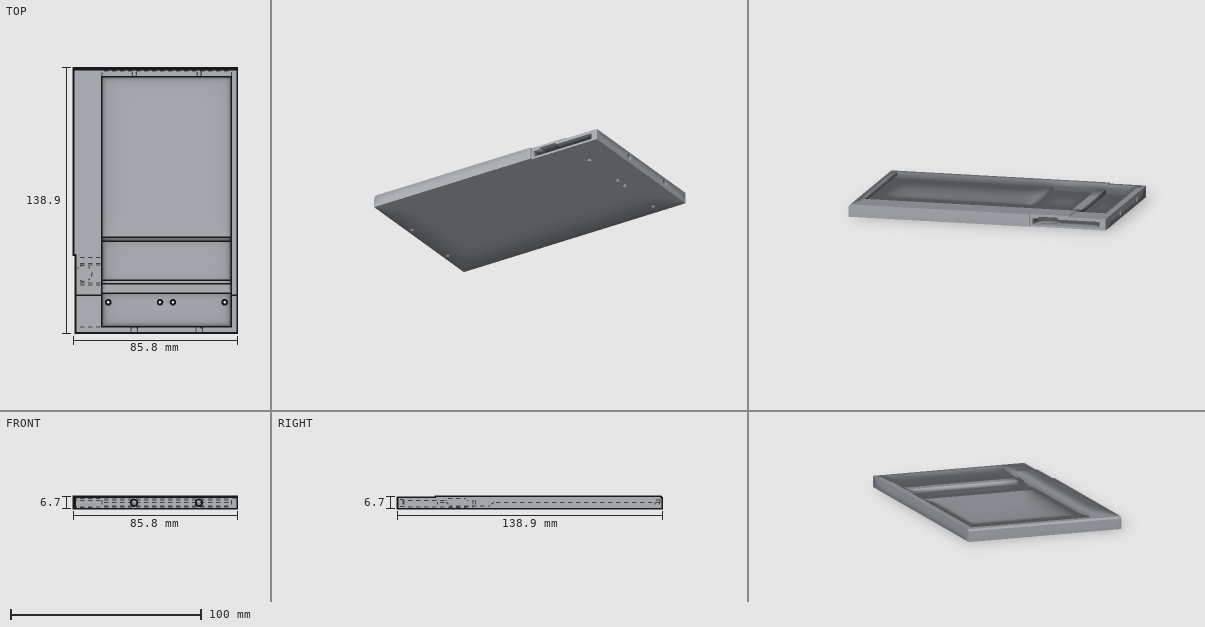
import cadquery as cq

LENGTH = 138.9
WIDTH = 85.8
HEIGHT = 6.7
BACK_CHAMFER = 1.0
FRONT_DROP = 0.5
FRONT_DROP_Y = -49.6
SIDE_STEP = 1.0
SIDE_STEP_Y = -28.6

LEFT_RIM = 14.9
RIGHT_RIM = 3.2
FRONT_RIM = 3.3
BACK_RIM = 4.7
FLOOR_Z = 3.5
VALLEY_Z = 1.5
FRONT_FLOOR_Z = 1.1
VALLEY_BACK_Y = -19.3
VALLEY_FRONT_Y = -43.8
RIDGE_FRONT_Y = -48.5

OPENING_BACK_Y = -29.9
OPENING_TOP_Z = 4.5
HUMP_BACK_Y = -32.8
HUMP_FRONT_Y = -44.2
HUMP_RISE = 1.0

RECESS_DIAMETER = 8.5
RECESS_DEPTH = 0.5
RECESS_Y = -38.0
RECESS_INSET = 4.3

UNDERCUT_TOP_Z = 4.9
UNDERCUT_DEPTH = 3.3
BACK_HOLE_DIAMETER = 2.4
BACK_HOLE_OFFSET = 1.8

PORT_DIAMETER = 3.5
PORT_Z = 3.2
PORT_DEPTH = 2.8
PORT_SPACING = 33.9
SCREW_DIAMETER = 2.4
SCREW_SPACING = 27.1
SCREW_Y = -53.3

left_x = -WIDTH / 2
front_y = -LENGTH / 2
pocket_left_x = left_x + LEFT_RIM
pocket_right_x = WIDTH / 2 - RIGHT_RIM
pocket_front_y = front_y + FRONT_RIM
pocket_back_y = LENGTH / 2 - BACK_RIM
pocket_mid_x = (pocket_left_x + pocket_right_x) / 2
port_xs = [pocket_mid_x + side * PORT_SPACING / 2 for side in (-1, 1)]


def along_x(profile, start_x, end_x):
    """Extrude a closed (y, z) profile from start_x to end_x."""
    return cq.Workplane("YZ", origin=(start_x, 0, 0)).polyline(profile).close().extrude(end_x - start_x)


def body():
    """Plate with a chamfered back edge, a lowered front end and a stepped left side."""
    back_y = LENGTH / 2
    front_z = HEIGHT - FRONT_DROP
    plate = along_x(
        [
            (front_y, 0),
            (back_y, 0),
            (back_y, HEIGHT - BACK_CHAMFER),
            (back_y - BACK_CHAMFER, HEIGHT),
            (FRONT_DROP_Y, HEIGHT),
            (FRONT_DROP_Y, front_z),
            (front_y, front_z),
        ],
        left_x,
        WIDTH / 2,
    )
    step = cq.Workplane().box(SIDE_STEP, SIDE_STEP_Y - front_y, HEIGHT, centered=False)
    return plate.cut(step.translate((left_x, front_y, 0)))


def pocket():
    """Open pocket whose floor has a sloped valley, a ridge and a low front bay."""
    valley_slope = FLOOR_Z - VALLEY_Z
    return along_x(
        [
            (pocket_front_y, HEIGHT),
            (pocket_front_y, FRONT_FLOOR_Z),
            (RIDGE_FRONT_Y, FRONT_FLOOR_Z),
            (RIDGE_FRONT_Y, FLOOR_Z),
            (VALLEY_FRONT_Y, FLOOR_Z),
            (VALLEY_FRONT_Y + valley_slope, VALLEY_Z),
            (VALLEY_BACK_Y - valley_slope, VALLEY_Z),
            (VALLEY_BACK_Y, FLOOR_Z),
            (pocket_back_y, FLOOR_Z),
            (pocket_back_y, HEIGHT),
        ],
        pocket_left_x,
        pocket_right_x,
    )


def side_opening():
    """Passage from the left side into the pocket, with a raised roof near its back end."""
    hump_top_z = OPENING_TOP_Z + HUMP_RISE
    return along_x(
        [
            (pocket_front_y, FRONT_FLOOR_Z),
            (pocket_front_y, OPENING_TOP_Z),
            (HUMP_FRONT_Y, OPENING_TOP_Z),
            (HUMP_FRONT_Y + HUMP_RISE, hump_top_z),
            (HUMP_BACK_Y - HUMP_RISE, hump_top_z),
            (HUMP_BACK_Y, OPENING_TOP_Z),
            (OPENING_BACK_Y, OPENING_TOP_Z),
            (OPENING_BACK_Y, FRONT_FLOOR_Z),
        ],
        left_x,
        pocket_left_x,
    )


def side_recess():
    """Shallow round recess below the hump of the side opening."""
    centre_x = left_x + SIDE_STEP + RECESS_INSET
    disc = cq.Workplane().circle(RECESS_DIAMETER / 2).extrude(RECESS_DEPTH)
    return disc.translate((centre_x, RECESS_Y, FRONT_FLOOR_Z - RECESS_DEPTH))


def back_undercut():
    """Slot under the back rim that continues the pocket floor."""
    pocket_width = pocket_right_x - pocket_left_x
    slot = cq.Workplane().box(pocket_width, UNDERCUT_DEPTH, UNDERCUT_TOP_Z - FLOOR_Z, centered=False)
    return slot.translate((pocket_left_x, pocket_back_y, FLOOR_Z))


def back_holes():
    """Holes through the undercut floor, in line with the front ports."""
    centres = [(x, pocket_back_y + BACK_HOLE_OFFSET) for x in port_xs]
    return cq.Workplane().pushPoints(centres).circle(BACK_HOLE_DIAMETER / 2).extrude(FLOOR_Z)


def front_ports():
    """Two blind round holes in the front rim."""
    front = cq.Workplane("XZ", origin=(0, front_y, 0))
    return front.pushPoints([(x, PORT_Z) for x in port_xs]).circle(PORT_DIAMETER / 2).extrude(-PORT_DEPTH)


def screw_holes():
    """A pair of holes through the front bay floor around each port."""
    centres = [(x + side * SCREW_SPACING / 2, SCREW_Y) for x in port_xs for side in (-1, 1)]
    return cq.Workplane().pushPoints(centres).circle(SCREW_DIAMETER / 2).extrude(HEIGHT)


result = body()
for cutter in (
    pocket(),
    side_opening(),
    side_recess(),
    back_undercut(),
    back_holes(),
    front_ports(),
    screw_holes(),
):
    result = result.cut(cutter)